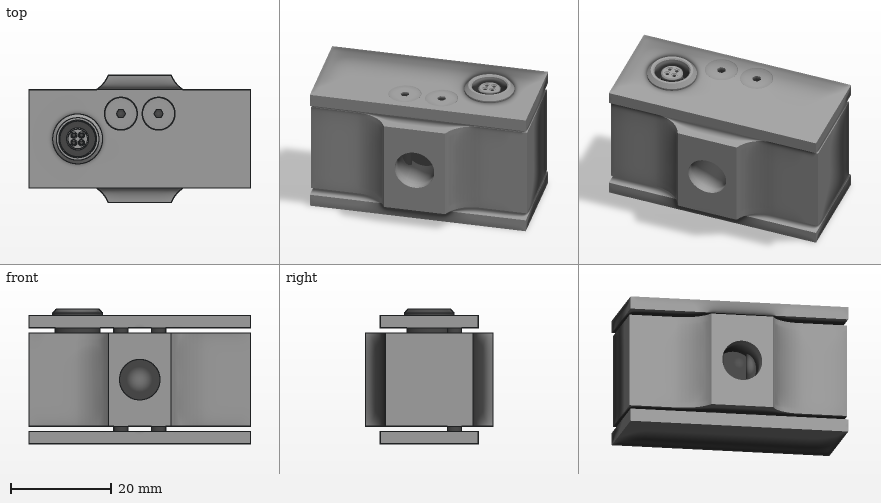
import cadquery as cq
import math

LENGTH = 44.2
BODY_WIDTH = 17.4
BODY_HEIGHT = 18.65
BOSS_SPAN = 25.4
BOSS_FACE_LENGTH = 12.55
BOSS_FILLET_RADIUS = 6.4
BORE_DIAMETER = 8.1
BORE_DEPTH = 8.85

PLATE_WIDTH = 19.62
PLATE_THICKNESS = 2.5
PLATE_GAP = 0.97

SCREW_X = 3.75
SCREW_Y = 5.05
SHANK_DIAMETER = 2.87
SCREW_RECESS_DIAMETER = 6.6
SCREW_HEAD_DIAMETER = 6.4
HEX_ACROSS_FLATS = 1.6
HEX_DEPTH = 2.0

CONNECTOR_X = -12.38
CONNECTOR_BODY_DIAMETER = 8.97
FLANGE_DIAMETER = 9.95
FLANGE_TOP_DIAMETER = 8.5
FLANGE_HEIGHT = 1.3
FLANGE_RIM_HEIGHT = 0.45
SOCKET_DIAMETER = 7.05
SOCKET_CHAMFER = 0.2
SOCKET_DEPTH = 4.2
INSERT_DIAMETER = 4.4
INSERT_CHAMFER = 0.25
INSERT_DROP = 0.55
PIN_OFFSET = 0.75
PIN_RECESS_DIAMETER = 1.25
PIN_RECESS_DEPTH = 0.15
PIN_HOLE_DIAMETER = 0.75
PIN_HOLE_DEPTH = 1.1

BODY_TOP = BODY_HEIGHT / 2
PLATE_BOTTOM = BODY_TOP + PLATE_GAP
PLATE_TOP = PLATE_BOTTOM + PLATE_THICKNESS
FLANGE_TOP = PLATE_TOP + FLANGE_HEIGHT


def cylinder(x, y, bottom, top, diameter):
    """Upright cylinder between two levels."""
    return cq.Workplane("XY", origin=(x, y, bottom)).circle(diameter / 2).extrude(top - bottom)


def cone(x, y, bottom, top, bottom_diameter, top_diameter):
    """Upright cone frustum between two levels."""
    solid = cq.Solid.makeCone(bottom_diameter / 2, top_diameter / 2, top - bottom, cq.Vector(x, y, bottom))
    return cq.Workplane("XY").add(solid)


def make_body():
    """Block with two bosses, each flank an arc tangent to the block side."""
    end_x = LENGTH / 2
    face_x = BOSS_FACE_LENGTH / 2
    side_y = BODY_WIDTH / 2
    face_y = BOSS_SPAN / 2
    rise = face_y - side_y

    def flank_x(height):
        """X of the flank at a height above the block side."""
        return math.sqrt(BOSS_FILLET_RADIUS ** 2 - (BOSS_FILLET_RADIUS - height) ** 2)

    foot_x = face_x + flank_x(rise)
    mid_x = foot_x - flank_x(rise / 2)
    mid_y = side_y + rise / 2

    body = (
        cq.Workplane("XY", origin=(0, 0, -BODY_TOP))
        .moveTo(-end_x, -side_y)
        .lineTo(-foot_x, -side_y)
        .threePointArc((-mid_x, -mid_y), (-face_x, -face_y))
        .lineTo(face_x, -face_y)
        .threePointArc((mid_x, -mid_y), (foot_x, -side_y))
        .lineTo(end_x, -side_y)
        .lineTo(end_x, side_y)
        .lineTo(foot_x, side_y)
        .threePointArc((mid_x, mid_y), (face_x, face_y))
        .lineTo(-face_x, face_y)
        .threePointArc((-mid_x, mid_y), (-foot_x, side_y))
        .lineTo(-end_x, side_y)
        .close()
        .extrude(BODY_HEIGHT)
    )
    front_bore = cq.Workplane("XZ", origin=(0, -face_y, 0)).circle(BORE_DIAMETER / 2).extrude(-BORE_DEPTH)
    return body.cut(front_bore).cut(front_bore.mirror("XZ"))


def make_plates():
    """Equal cover plates above and below the body."""
    plate_middle = (PLATE_BOTTOM + PLATE_TOP) / 2
    plate = cq.Workplane("XY").box(LENGTH, PLATE_WIDTH, PLATE_THICKNESS)
    return plate.translate((0, 0, plate_middle)).union(plate.translate((0, 0, -plate_middle)))


def make_screw_shank(x):
    """Shank that crosses the body and joins both plates to it."""
    return cylinder(x, SCREW_Y, -PLATE_BOTTOM, PLATE_BOTTOM, SHANK_DIAMETER)


def make_screw_recess(x):
    """Rim of the countersink left above the screw head, with the hex socket below it."""
    recess_depth = (SCREW_RECESS_DIAMETER - SCREW_HEAD_DIAMETER) / 2
    head_top = PLATE_TOP - recess_depth
    rim = cone(x, SCREW_Y, head_top, PLATE_TOP, SCREW_HEAD_DIAMETER, SCREW_RECESS_DIAMETER)
    across_corners = HEX_ACROSS_FLATS / math.cos(math.pi / 6)
    hex_socket = (
        cq.Workplane("XY", origin=(x, SCREW_Y, head_top))
        .polygon(6, across_corners)
        .extrude(-HEX_DEPTH)
    )
    return rim.union(hex_socket)


def make_connector_shell():
    """Turned connector, from the body top to the bevelled flange."""
    rim_top = PLATE_TOP + FLANGE_RIM_HEIGHT
    return (
        cq.Workplane("XZ")
        .moveTo(0, BODY_TOP)
        .lineTo(CONNECTOR_BODY_DIAMETER / 2, BODY_TOP)
        .lineTo(CONNECTOR_BODY_DIAMETER / 2, PLATE_TOP)
        .lineTo(FLANGE_DIAMETER / 2, PLATE_TOP)
        .lineTo(FLANGE_DIAMETER / 2, rim_top)
        .lineTo(FLANGE_TOP_DIAMETER / 2, FLANGE_TOP)
        .lineTo(0, FLANGE_TOP)
        .close()
        .revolve(360, (0, 0, 0), (0, 1, 0))
        .translate((CONNECTOR_X, 0, 0))
    )


def make_socket():
    """Everything removed from the connector: a chamfered ring around the insert, and the pin holes."""
    floor = FLANGE_TOP - SOCKET_DEPTH
    insert_top = FLANGE_TOP - INSERT_DROP
    mouth_diameter = SOCKET_DIAMETER + 2 * SOCKET_CHAMFER
    mouth = cone(CONNECTOR_X, 0, FLANGE_TOP - SOCKET_CHAMFER, FLANGE_TOP, SOCKET_DIAMETER, mouth_diameter)
    bore = cylinder(CONNECTOR_X, 0, floor, FLANGE_TOP, SOCKET_DIAMETER).union(mouth)
    insert = cylinder(CONNECTOR_X, 0, floor, insert_top, INSERT_DIAMETER).faces(">Z").chamfer(INSERT_CHAMFER)
    socket = bore.cut(insert)
    for x_side in (-1, 1):
        for y_side in (-1, 1):
            x = CONNECTOR_X + x_side * PIN_OFFSET
            y = y_side * PIN_OFFSET
            recess = cylinder(x, y, insert_top - PIN_RECESS_DEPTH, insert_top, PIN_RECESS_DIAMETER)
            hole = cylinder(x, y, insert_top - PIN_HOLE_DEPTH, insert_top, PIN_HOLE_DIAMETER)
            socket = socket.union(recess).union(hole)
    return socket


result = make_body().union(make_plates())
for screw_x in (-SCREW_X, SCREW_X):
    result = result.union(make_screw_shank(screw_x)).cut(make_screw_recess(screw_x))
result = result.union(make_connector_shell()).cut(make_socket())